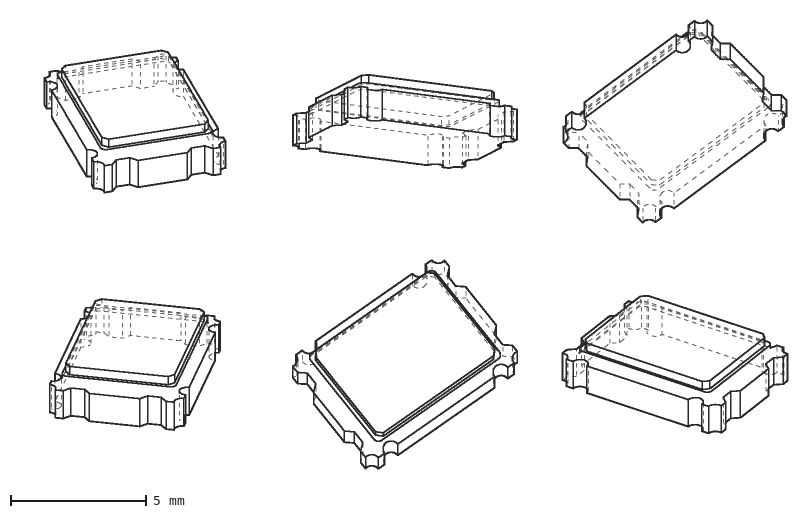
import cadquery as cq

length = 7.0
width = 5.08
base_height = 1.16

recess_radius = 0.3
side_recess_x = 2.535
corner_recess_x = 3.43

notch_y = 1.45
notch_depth = 0.27
notch_mouth = 0.995
notch_floor = 0.52

step_inset_x = 0.61
step_inset_y = 0.385
step_height = 0.295
step_corner_radius = 0.2
foot_radius = 0.15
step_length = length - 2 * step_inset_x
step_width = width - 2 * step_inset_y
step_top = base_height + step_height

lid_inset_x = 0.755
lid_inset_y = 0.48
lid_height = 0.34
lid_chamfer = 0.2
lid_length = length - 2 * lid_inset_x
lid_width = width - 2 * lid_inset_y

pick_margin = 0.01


def make_base_and_step():
    base = cq.Workplane("XY").box(length, width, base_height, centered=(True, True, False))
    step = (
        cq.Workplane("XY")
        .workplane(offset=base_height)
        .rect(step_length, step_width)
        .extrude(step_height)
        .edges("|Z")
        .fillet(step_corner_radius)
    )
    pick_x = step_length / 2 + pick_margin
    pick_y = step_width / 2 + pick_margin
    foot_edges = cq.selectors.BoxSelector(
        (-pick_x, -pick_y, base_height - pick_margin),
        (pick_x, pick_y, base_height + pick_margin),
    )
    return base.union(step).edges(foot_edges).fillet(foot_radius)


def make_recesses():
    centres = [
        (side_x * x, side_y * width / 2)
        for side_x in (-1, 1)
        for side_y in (-1, 1)
        for x in (side_recess_x, corner_recess_x)
    ]
    return cq.Workplane("XY").pushPoints(centres).circle(recess_radius).extrude(step_top)


def make_notch(side_x, side_y):
    mouth_x = side_x * length / 2
    floor_x = side_x * (length / 2 - notch_depth)
    centre_y = side_y * notch_y
    return (
        cq.Workplane("XY")
        .polyline(
            [
                (mouth_x, centre_y - notch_mouth / 2),
                (floor_x, centre_y - notch_floor / 2),
                (floor_x, centre_y + notch_floor / 2),
                (mouth_x, centre_y + notch_mouth / 2),
            ]
        )
        .close()
        .extrude(base_height)
    )


def make_lid():
    return (
        cq.Workplane("XY")
        .workplane(offset=step_top)
        .rect(lid_length, lid_width)
        .extrude(lid_height)
        .edges("|Z")
        .chamfer(lid_chamfer)
    )


result = make_base_and_step().cut(make_recesses())
for side_x in (-1, 1):
    for side_y in (-1, 1):
        result = result.cut(make_notch(side_x, side_y))
result = result.union(make_lid())